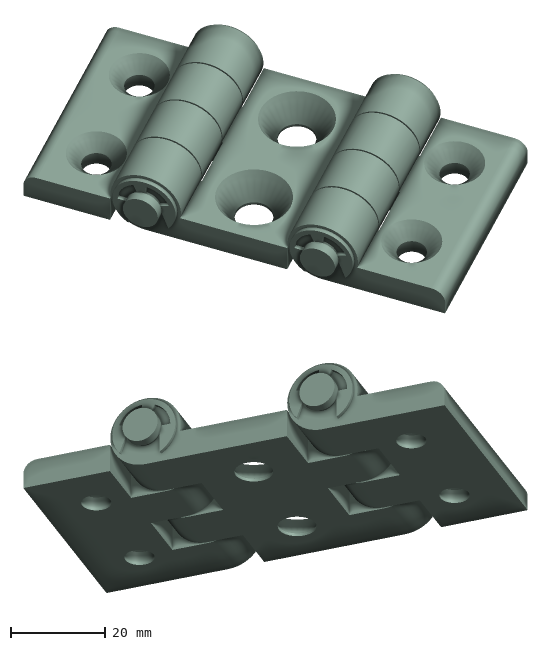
import cadquery as cq
import math

total_length = 96.1
leaf_width = 48.0
leaf_thickness = 6.4
edge_round = 3.1
knuckle_diameter = 16.0
knuckle_radius = knuckle_diameter / 2

axis_offset = 20.2
axis_height = knuckle_radius

knuckle_count = 4
gap_pitch = 11.9
knuckle_gap = 0.4
plate_clearance = 0.1

pin_diameter = 8.0
pin_radius = pin_diameter / 2
pin_length = 54.3
groove_diameter = 7.0
groove_radius = groove_diameter / 2
clip_radius = 7.2
clip_thickness = 1.0
clip_window_radius = 6.1
clip_tilt = 10.0
clip_starts = (-leaf_width / 2 - clip_thickness, leaf_width / 2)
mouth_half_angle = 40.0
mouth_flare = 10.0
window_start_angle = 14.0
window_end_angle = 79.0

hole_spacing = 25.0
outer_hole_offset = 35.9
small_bore = 6.4
small_countersink = 13.0
small_countersink_depth = (small_countersink - small_bore) / 2
large_bore = 8.3
large_countersink = 16.5
large_countersink_depth = 5.8


def block(x_start, x_end, y_start, y_end, height):
    """Rectangular block standing on the base plane."""
    size_x = x_end - x_start
    size_y = y_end - y_start
    return cq.Workplane("XY").box(size_x, size_y, height, centered=False).translate((x_start, y_start, 0))


def cylinder_along_y(axis_x, radius, y_start, y_end):
    """Round bar centred on a hinge axis."""
    bar = cq.Workplane("XZ").circle(radius).extrude(y_start - y_end)
    return bar.translate((axis_x, y_start, axis_height))


def knuckle_span(index):
    """Start and end of a knuckle along Y, counted from the -Y end."""
    half_width = leaf_width / 2
    start = -half_width
    end = half_width
    if index > 0:
        start = (index - knuckle_count / 2) * gap_pitch + knuckle_gap / 2
    if index < knuckle_count - 1:
        end = (index + 1 - knuckle_count / 2) * gap_pitch - knuckle_gap / 2
    return start, end


def add_knuckles(plate, axis_x, toward_plate, first_index):
    """Join every second knuckle to a plate that lies in the +X (1) or -X (-1) direction."""
    plate_edge = axis_x + toward_plate * (knuckle_radius + plate_clearance)
    for index in range(first_index, knuckle_count, 2):
        y_start, y_end = knuckle_span(index)
        web = block(min(axis_x, plate_edge), max(axis_x, plate_edge), y_start, y_end, leaf_thickness)
        barrel = cylinder_along_y(axis_x, knuckle_radius, y_start, y_end)
        plate = plate.union(web).union(barrel)
    pin_bore = cylinder_along_y(axis_x, pin_radius, -leaf_width / 2, leaf_width / 2)
    return plate.cut(pin_bore)


def cut_screw_holes(leaf, hole_x, bore, countersink, depth):
    """Cut two countersunk holes down through a leaf."""
    profile = (
        cq.Workplane("XZ")
        .moveTo(0, 0)
        .lineTo(bore / 2, 0)
        .lineTo(bore / 2, leaf_thickness - depth)
        .lineTo(countersink / 2, leaf_thickness)
        .lineTo(0, leaf_thickness)
        .close()
    )
    cutter = profile.revolve(360, (0, 0, 0), (0, 1, 0))
    for hole_y in (-hole_spacing / 2, hole_spacing / 2):
        leaf = leaf.cut(cutter.translate((hole_x, hole_y, 0)))
    return leaf


def make_outer_leaf(side):
    """End leaf on the -X (-1) or +X (1) side, rounded along its outer top edge."""
    inner_edge = side * (axis_offset + knuckle_radius + plate_clearance)
    outer_edge = side * total_length / 2
    x_start = min(inner_edge, outer_edge)
    x_end = max(inner_edge, outer_edge)
    plate = block(x_start, x_end, -leaf_width / 2, leaf_width / 2, leaf_thickness)
    outer_face = "<X" if side < 0 else ">X"
    plate = plate.faces(outer_face).edges(">Z").fillet(edge_round)
    first_index = 1 if side < 0 else 0
    leaf = add_knuckles(plate, side * axis_offset, side, first_index)
    return cut_screw_holes(
        leaf, side * outer_hole_offset, small_bore, small_countersink, small_countersink_depth
    )


def make_middle_leaf():
    """Leaf between the two axes, with knuckles on both sides."""
    half_length = axis_offset - knuckle_radius - plate_clearance
    leaf = block(-half_length, half_length, -leaf_width / 2, leaf_width / 2, leaf_thickness)
    leaf = add_knuckles(leaf, -axis_offset, 1, 0)
    leaf = add_knuckles(leaf, axis_offset, -1, 1)
    return cut_screw_holes(leaf, 0, large_bore, large_countersink, large_countersink_depth)


def make_pin(axis_x):
    """Round pin reaching past the knuckles, with a groove for a clip near each end."""
    pin = cylinder_along_y(axis_x, pin_radius, -pin_length / 2, pin_length / 2)
    for clip_y in clip_starts:
        collar = cylinder_along_y(axis_x, pin_radius, clip_y, clip_y + clip_thickness)
        core = cylinder_along_y(axis_x, groove_radius, clip_y, clip_y + clip_thickness)
        pin = pin.cut(collar.cut(core))
    return pin


def polar(radius, degrees_from_up):
    """Point at an angle measured clockwise from straight up."""
    angle = math.radians(degrees_from_up)
    return radius * math.sin(angle), radius * math.cos(angle)


def clip_mouth():
    """Flared opening at the bottom of the clip, running past its rim."""
    rim_x, rim_y = polar(clip_radius, 180 - mouth_half_angle)
    slope = math.tan(math.radians(mouth_flare))
    top_x = rim_x + slope * rim_y
    bottom_x = rim_x + slope * (rim_y + clip_radius)
    corners = [(-top_x, 0), (top_x, 0), (bottom_x, -clip_radius), (-bottom_x, -clip_radius)]
    return cq.Workplane("XZ").polyline(corners).close().extrude(-clip_thickness)


def clip_window(side):
    """Ring-sector opening between the top tooth and a side tooth of the clip."""
    middle_angle = (window_start_angle + window_end_angle) / 2
    return (
        cq.Workplane("XZ")
        .moveTo(0, 0)
        .lineTo(*polar(clip_window_radius, side * window_start_angle))
        .threePointArc(
            polar(clip_window_radius, side * middle_angle),
            polar(clip_window_radius, side * window_end_angle),
        )
        .close()
        .extrude(-clip_thickness)
    )


def make_clip(axis_x, y_start):
    """E-shaped retaining clip that grips the pin groove with three teeth."""
    clip = cq.Workplane("XZ").circle(clip_radius).circle(groove_radius).extrude(-clip_thickness)
    clip = clip.cut(clip_mouth())
    for side in (-1, 1):
        clip = clip.cut(clip_window(side))
    clip = clip.rotate((0, 0, 0), (0, 1, 0), -clip_tilt)
    return clip.translate((axis_x, y_start, axis_height))


left_leaf = make_outer_leaf(-1)
middle_leaf = make_middle_leaf()
right_leaf = make_outer_leaf(1)

pins = []
clips = []
for axis_x in (-axis_offset, axis_offset):
    pins.append(make_pin(axis_x).val())
    for clip_y in clip_starts:
        clips.append(make_clip(axis_x, clip_y).val())

result = cq.Compound.makeCompound([left_leaf.val(), middle_leaf.val(), right_leaf.val(), *pins, *clips])